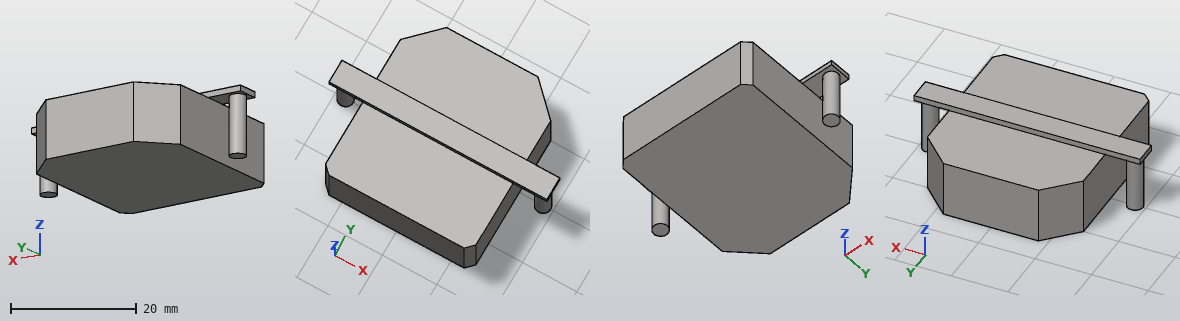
import cadquery as cq

body_width = 27.6
body_depth = 30.9
body_height = 10.0
back_corner_cut = 5.4
front_corner_cut = 1.4

bar_length = 40.0
bar_width = 4.2
bar_thickness = 1.0

pin_diameter = 2.8
pin_spacing = 36.25


def make_body():
    block = cq.Workplane("XY").box(
        body_width, body_depth, body_height, centered=(True, True, False)
    )
    block = block.edges("|Z and >Y").chamfer(back_corner_cut)
    return block.edges("|Z and <Y").chamfer(front_corner_cut)


def make_bar():
    return (
        cq.Workplane("XY")
        .workplane(offset=body_height)
        .rect(bar_length, bar_width)
        .extrude(bar_thickness)
    )


def make_pins():
    return (
        cq.Workplane("XY")
        .pushPoints([(-pin_spacing / 2, 0), (pin_spacing / 2, 0)])
        .circle(pin_diameter / 2)
        .extrude(body_height)
    )


result = make_body().union(make_bar()).union(make_pins())